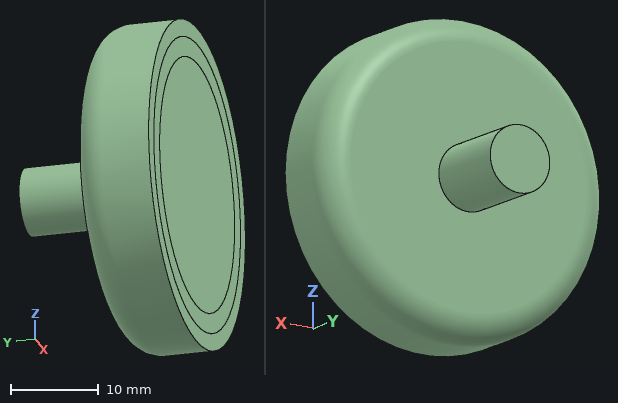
import cadquery as cq

cup_diameter = 38.1
cup_height = 9.0
cup_edge_radius = 3.15
stem_diameter = 8.0
overall_length = 20.0
recess_diameter = 34.05
recess_depth = 5.83
magnet_diameter = 29.45

stem_length = overall_length - cup_height


def cylinder(diameter, length, start=0.0):
    """Cylinder along +Y, beginning at Y = start."""
    return cq.Workplane("XZ", origin=(0, start, 0)).circle(diameter / 2).extrude(-length)


def make_cup():
    """Rounded cup with its stem on the back and an open recess in front."""
    body = cylinder(cup_diameter, cup_height).faces(">Y").edges().fillet(cup_edge_radius)
    stem = cylinder(stem_diameter, stem_length, start=cup_height)
    recess = cylinder(recess_diameter, recess_depth)
    return body.union(stem).cut(recess)


def make_spacer_ring():
    """Ring that fills the gap between the magnet and the recess wall."""
    bore = cylinder(magnet_diameter, recess_depth)
    return cylinder(recess_diameter, recess_depth).cut(bore)


def make_magnet():
    """Disc magnet seated on the recess floor, flush with the cup rim."""
    return cylinder(magnet_diameter, recess_depth)


cup = make_cup()
spacer_ring = make_spacer_ring()
magnet = make_magnet()

result = cq.Compound.makeCompound([cup.val(), spacer_ring.val(), magnet.val()])